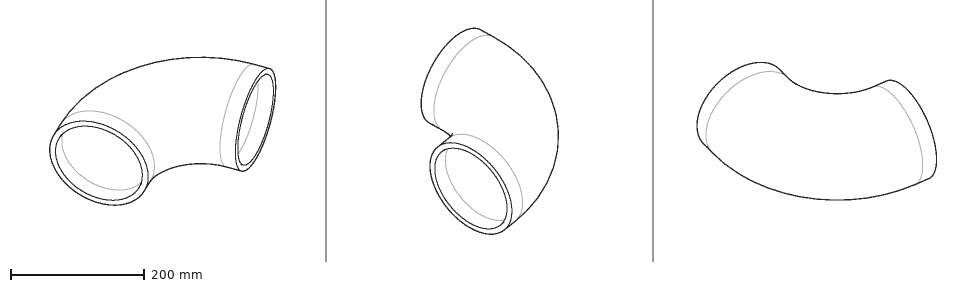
import cadquery as cq

overall_length = 260.0
outer_diameter = 160.0
bore_diameter = 141.0
collar_length = 25.0

bend_radius = overall_length - collar_length - outer_diameter / 2


def elbow(diameter):
    """Solid 90 degree elbow with a straight collar at each end, bend centre at the origin."""
    inlet_collar = (
        cq.Workplane("XZ")
        .center(-bend_radius, 0)
        .circle(diameter / 2)
        .extrude(collar_length)
    )
    bend = (
        cq.Workplane("XZ")
        .center(-bend_radius, 0)
        .circle(diameter / 2)
        .revolve(90, (bend_radius, 0, 0), (bend_radius, -1, 0))
    )
    outlet_collar = (
        cq.Workplane("YZ")
        .center(bend_radius, 0)
        .circle(diameter / 2)
        .extrude(collar_length)
    )
    return inlet_collar.union(bend).union(outlet_collar)


result = elbow(outer_diameter).cut(elbow(bore_diameter))